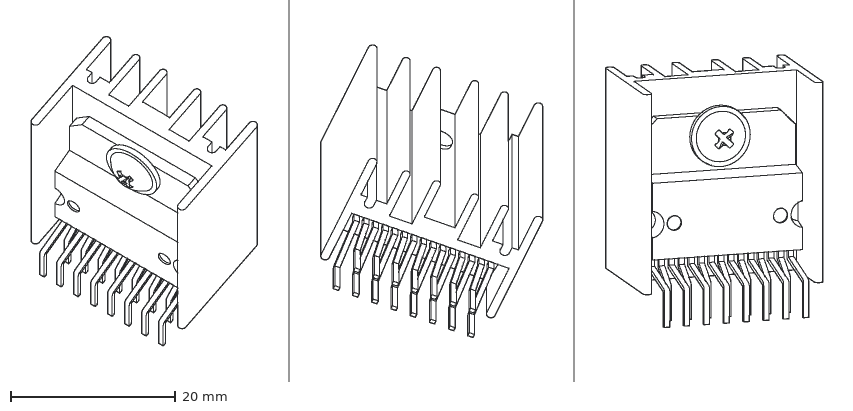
import cadquery as cq
import math


sink_width = 23.0
sink_height = 25.0
plate_thickness = 1.42
raised_thickness = 2.93
outer_fin_thickness = 1.1
inner_fin_thickness = 1.0
outer_fin_front = -7.57
long_fin_back = 8.45
short_fin_back = 8.32
fin_2_x = 6.5
fin_3_x = 2.52
groove_x = 8.95
groove_width = 1.2
groove_floor = 1.5

tab_half_width = 9.8
tab_thickness = 1.5
tab_top = 20.47
tab_corner = 1.88
body_bottom = 3.28
body_top = 13.57
parting_y = -2.55
body_front = -4.9
draft_side = 0.23
draft_top = 0.32
draft_bottom = 0.38
notch_z = 8.1
notch_diameter = 3.34
notch_floor_diameter = 2.65
dimple_x = 6.8
dimple_diameter = 1.8
dimple_depth = 0.25

lead_count = 15
lead_span = 17.78
lead_pitch = lead_span / (lead_count - 1)
lead_width = 0.7
lead_thickness = 0.5
lead_bottom = -4.0
lead_root_z = 4.35
lead_root_front = -2.46
lead_bend_z = 2.3
front_row_y = -8.58
front_row_bend_z = 0.72
back_row_y = -5.22
back_row_bend_z = 0.45

screw_z = 17.85
shank_diameter = 3.0
shank_back = 3.45
flange_diameter = 7.5
flange_thickness = 0.72
dome_diameter = 6.3
dome_height = 1.65
recess_length = 2.78
recess_width = 0.72
recess_step_diameter = 1.6
recess_step_depth = 0.3
recess_core_diameter = 1.05
recess_cone_radius = 1.65
recess_depth = 1.5


def box(x0, x1, y0, y1, z0, z1):
    """Box between two positions on each axis."""
    return cq.Workplane("XY").box(x1 - x0, y1 - y0, z1 - z0, centered=False).translate((x0, y0, z0))


def y_cylinder(diameter, x, z, y_start, y_end):
    """Cylinder along Y between two Y positions."""
    return (
        cq.Workplane("XZ", origin=(x, y_start, z))
        .circle(diameter / 2)
        .extrude(y_start - y_end)
    )


def fin(x, thickness, y_front, y_back, round_front):
    """Full-height fin with a round back edge and, if asked, a round front edge."""
    radius = thickness / 2
    y_tangent = y_back - radius
    outline = cq.Workplane("XY").moveTo(x + radius, y_tangent)
    outline = outline.threePointArc((x, y_back), (x - radius, y_tangent))
    if round_front:
        outline = outline.lineTo(x - radius, y_front + radius)
        outline = outline.threePointArc((x, y_front), (x + radius, y_front + radius))
    else:
        outline = outline.lineTo(x - radius, y_front).lineTo(x + radius, y_front)
    return outline.close().extrude(sink_height)


def heatsink():
    """Plate with raised pads, six back fins, two front wings and two round-bottomed grooves."""
    half = sink_width / 2
    fin_2_outside = fin_2_x + inner_fin_thickness / 2
    fin_2_inside = fin_2_x - inner_fin_thickness / 2
    fin_3_outside = fin_3_x + inner_fin_thickness / 2
    outer_fin_x = half - outer_fin_thickness / 2
    sink = box(-outer_fin_x, outer_fin_x, 0, plate_thickness, 0, sink_height)
    sink = sink.union(box(-fin_3_outside, fin_3_outside, 0, raised_thickness, 0, sink_height))
    groove_radius = groove_width / 2
    for side in (-1, 1):
        raised_x = sorted((side * fin_2_inside, side * outer_fin_x))
        sink = sink.union(box(*raised_x, 0, raised_thickness, 0, sink_height))
        sink = sink.union(fin(side * outer_fin_x, outer_fin_thickness, outer_fin_front, long_fin_back, True))
        sink = sink.union(fin(side * fin_2_x, inner_fin_thickness, 0, short_fin_back, False))
        sink = sink.union(fin(side * fin_3_x, inner_fin_thickness, 0, long_fin_back, False))
        x = side * groove_x
        groove = (
            cq.Workplane("XY")
            .moveTo(x - groove_radius, raised_thickness)
            .lineTo(x - groove_radius, groove_floor + groove_radius)
            .threePointArc((x, groove_floor), (x + groove_radius, groove_floor + groove_radius))
            .lineTo(x + groove_radius, raised_thickness)
            .close()
            .extrude(sink_height)
        )
        sink = sink.cut(groove)
    return sink


def tab():
    """Metal tab with two cut corners at the top, running down behind the body."""
    return (
        box(-tab_half_width, tab_half_width, -tab_thickness, 0, body_bottom, tab_top)
        .edges("|Y and >Z")
        .chamfer(tab_corner)
    )


def body():
    """Moulded block on the tab, drafted toward its front; the underside is level behind the parting line,
    with side notches and two dimples."""
    front_half_width = tab_half_width - draft_side
    side_profile = (
        cq.Workplane("YZ")
        .polyline([
            (-tab_thickness, body_bottom),
            (-tab_thickness, body_top),
            (body_front, body_top - draft_top),
            (body_front, body_bottom + draft_bottom),
            (parting_y, body_bottom),
        ])
        .close()
        .extrude(tab_half_width, both=True)
    )
    plan_profile = (
        cq.Workplane("XY")
        .polyline([
            (-tab_half_width, -tab_thickness),
            (tab_half_width, -tab_thickness),
            (front_half_width, body_front),
            (-front_half_width, body_front),
        ])
        .close()
        .extrude(body_top)
    )
    block = side_profile.intersect(plan_profile)
    for side in (-1, 1):
        notch = (
            cq.Workplane("XZ", origin=(side * tab_half_width, parting_y, notch_z))
            .circle(notch_floor_diameter / 2)
            .workplane(offset=parting_y - body_front)
            .circle(notch_diameter / 2)
            .loft(combine=True)
        )
        block = block.cut(notch)
        block = block.cut(
            y_cylinder(dimple_diameter, side * dimple_x, notch_z, body_front + dimple_depth, body_front)
        )
    return block


def lead(x, y_front, bend_z):
    """Lead that leaves the body downward, slopes forward and turns down again."""
    slope = math.atan2(lead_bend_z - bend_z, lead_root_front - y_front)
    turn = math.pi / 2 - slope
    root_back = lead_root_front + lead_thickness
    tip_back = y_front + lead_thickness
    miter = lead_thickness * math.tan(turn / 2)
    inner = (tip_back, bend_z - miter)
    arc_start = (y_front + miter * math.cos(slope), bend_z + miter * math.sin(slope))
    arc_middle = (
        inner[0] - lead_thickness * math.cos(turn / 2),
        inner[1] + lead_thickness * math.sin(turn / 2),
    )
    return (
        cq.Workplane("YZ", origin=(x - lead_width / 2, 0, 0))
        .moveTo(lead_root_front, lead_root_z)
        .lineTo(lead_root_front, lead_bend_z)
        .lineTo(*arc_start)
        .threePointArc(arc_middle, (y_front, bend_z - miter))
        .lineTo(y_front, lead_bottom)
        .lineTo(tip_back, lead_bottom)
        .lineTo(*inner)
        .lineTo(root_back, lead_bend_z - miter)
        .lineTo(root_back, lead_root_z)
        .close()
        .extrude(lead_width)
    )


def leads():
    """Staggered leads: the even ones reach the front row, the odd ones the back row."""
    shapes = []
    for i in range(lead_count):
        x = i * lead_pitch - lead_span / 2
        if i % 2 == 0:
            shapes.append(lead(x, front_row_y, front_row_bend_z))
        else:
            shapes.append(lead(x, back_row_y, back_row_bend_z))
    return shapes


def cross_recess(dome_top):
    """Round shallow step around a cross whose floor is a cone."""
    deepest = dome_top + recess_depth
    step = y_cylinder(recess_step_diameter, 0, screw_z, dome_top + recess_step_depth, dome_top)
    cross = y_cylinder(recess_core_diameter, 0, screw_z, deepest, dome_top)
    for angle in (45, 135):
        arms = (
            cq.Workplane("XZ", origin=(0, deepest, screw_z))
            .transformed(rotate=(0, 0, angle))
            .rect(recess_length, recess_width)
            .extrude(recess_depth)
        )
        cross = cross.union(arms)
    cone = (
        cq.Workplane("XY")
        .polyline([(0, dome_top), (recess_cone_radius, dome_top), (0, deepest)])
        .close()
        .revolve(360, (0, 0, 0), (0, 1, 0))
        .translate((0, 0, screw_z))
    )
    return step.union(cross.intersect(cone))


def screw():
    """Domed screw through tab and plate, with a cross recess turned 45 degrees."""
    flange_front = -tab_thickness - flange_thickness
    dome_top = flange_front - dome_height
    dome_radius = dome_diameter / 2
    shank = y_cylinder(shank_diameter, 0, screw_z, shank_back, -tab_thickness)
    flange = y_cylinder(flange_diameter, 0, screw_z, -tab_thickness, flange_front)

    sphere_radius = (dome_radius**2 + dome_height**2) / (2 * dome_height)
    half_angle = math.asin(dome_radius / sphere_radius) / 2
    arc_middle = (
        sphere_radius * math.sin(half_angle),
        dome_top + sphere_radius * (1 - math.cos(half_angle)),
    )
    dome = (
        cq.Workplane("XY")
        .moveTo(0, flange_front)
        .lineTo(dome_radius, flange_front)
        .threePointArc(arc_middle, (0, dome_top))
        .close()
        .revolve(360, (0, 0, 0), (0, 1, 0))
        .translate((0, 0, screw_z))
    )
    return shank.union(flange).union(dome).cut(cross_recess(dome_top))


result = heatsink().union(tab()).union(body()).union(screw())
for lead_shape in leads():
    result = result.union(lead_shape)